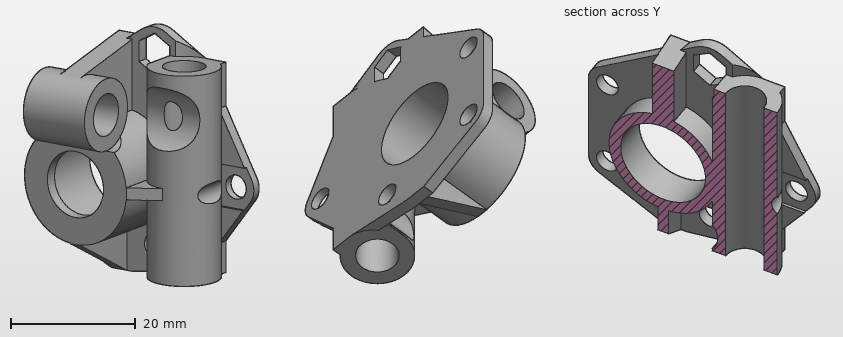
import math

import cadquery as cq


PLATE_THICKNESS = 2.0
PLATE_BOTTOM = -17.06
BOTTOM_EDGE_HALF_WIDTH = 2.1
LUG_RADIUS = 3.5
SCREW_HOLE_RADIUS = 2.0
LEFT_HOLE_X = -12.5
LEFT_HOLE_Z = 8.2
RIGHT_HOLE = (22.0, 0.0)
LOWER_HOLE = (6.4, -12.0)
SCREW_HEAD_RADIUS = 3.6
RIGHT_SEAT_HALF_HEIGHT = 3.55
RIGHT_SEAT_DEPTH = 1.5

HEX_CENTER = (6.35, 19.8)
HEX_WIDTH = 6.0
HEX_LUG_RADIUS = 4.5

BOSS_RADIUS = 10.0
BOSS_DEPTH = 15.0
BORE_RADIUS = 5.5
POCKET_RADIUS = 7.75
BORE_LIP = 2.0

TUBE_X = 15.0
TUBE_RADIUS = 6.0
TUBE_BORE_RADIUS = 3.5
TUBE_BOTTOM = -15.0
TUBE_TOP = 20.0
TUBE_AXIS_DEPTH = TUBE_RADIUS
TUBE_BACK_RIGHT_X = 19.0

BARREL_RADIUS = 6.0
BARREL_BORE_RADIUS = 3.5
BARREL_HALF_LENGTH = 6.0
BARREL_Z = 12.5
BARREL_AXIS_DEPTH = BOSS_DEPTH

BARREL_RIB_WIDTH = 4.0
BARREL_RIB_BACK_Z = 22.0
THIN_RIB_WIDTH = 2.0

THROUGH_DEPTH = 30.0
CLEARANCE_HALF_LENGTH = 30.0


def block(x_range, depth_range, z_range):
    """Box given by its X range, its depth range and its Z range."""
    size_x = x_range[1] - x_range[0]
    size_y = depth_range[1] - depth_range[0]
    size_z = z_range[1] - z_range[0]
    corner = (x_range[0], -depth_range[1], z_range[0])
    return cq.Workplane("XY").box(size_x, size_y, size_z, centered=False).translate(corner)


def y_cylinder(center, radius, start_depth, end_depth):
    """Cylinder along Y, centred on an (x, z) point, between two depths."""
    plane = cq.Workplane("XZ", origin=(0, -start_depth, 0))
    return plane.center(*center).circle(radius).extrude(end_depth - start_depth)


def barrel_cylinder(radius, half_length):
    """Cylinder on the axis of the cross barrel, symmetric about X = 0."""
    plane = cq.Workplane("YZ").center(-BARREL_AXIS_DEPTH, BARREL_Z)
    return plane.circle(radius).extrude(half_length, both=True)


def tube_cylinder(radius, bottom, top):
    """Cylinder on the axis of the vertical tube."""
    plane = cq.Workplane("XY", origin=(TUBE_X, -TUBE_AXIS_DEPTH, bottom))
    return plane.circle(radius).extrude(top - bottom)


def side_rib(points, width):
    """Rib with a (y, z) profile, centred on X = 0."""
    return cq.Workplane("YZ").polyline(points).close().extrude(width / 2, both=True)


def tangent_normal(start, end):
    """Unit normal of the outer tangent between two (x, z, radius) circles, taken counterclockwise."""
    dx = end[0] - start[0]
    dz = end[1] - start[1]
    distance = math.hypot(dx, dz)
    angle = math.atan2(dz, dx) - math.acos((start[2] - end[2]) / distance)
    return (math.cos(angle), math.sin(angle))


def on_circle(circle, normal):
    return (circle[0] + circle[2] * normal[0], circle[1] + circle[2] * normal[1])


def plate_outline():
    """Closed outline wrapped counterclockwise around lug circles and sharp corners (radius 0)."""
    corners = [
        (*RIGHT_HOLE, LUG_RADIUS),
        (TUBE_X, TUBE_TOP, 0),
        (*HEX_CENTER, HEX_LUG_RADIUS),
        (LEFT_HOLE_X, LEFT_HOLE_Z, LUG_RADIUS),
        (LEFT_HOLE_X, -LEFT_HOLE_Z, LUG_RADIUS),
        (-BOTTOM_EDGE_HALF_WIDTH, PLATE_BOTTOM, 0),
        (BOTTOM_EDGE_HALF_WIDTH, PLATE_BOTTOM, 0),
        (TUBE_X, TUBE_BOTTOM, 0),
    ]
    count = len(corners)
    normals = [tangent_normal(corners[i], corners[(i + 1) % count]) for i in range(count)]
    outline = cq.Workplane("XZ").moveTo(*on_circle(corners[0], normals[0]))
    for i in range(1, count + 1):
        corner = corners[i % count]
        normal_in = normals[i - 1]
        normal_out = normals[i % count]
        outline = outline.lineTo(*on_circle(corner, normal_in))
        if corner[2] > 0:
            sum_x = normal_in[0] + normal_out[0]
            sum_z = normal_in[1] + normal_out[1]
            length = math.hypot(sum_x, sum_z)
            middle = on_circle(corner, (sum_x / length, sum_z / length))
            outline = outline.threePointArc(middle, on_circle(corner, normal_out))
    return outline.close()


def make_plate():
    plate = plate_outline().extrude(PLATE_THICKNESS)
    right_seat = block(
        (TUBE_BACK_RIGHT_X, RIGHT_HOLE[0] + 2 * LUG_RADIUS),
        (RIGHT_SEAT_DEPTH, PLATE_THICKNESS),
        (-RIGHT_SEAT_HALF_HEIGHT, RIGHT_SEAT_HALF_HEIGHT),
    )
    tube_relief = tube_cylinder(TUBE_RADIUS, PLATE_BOTTOM, HEX_CENTER[1] + HEX_LUG_RADIUS)
    return plate.cut(right_seat).cut(tube_relief)


def make_tube():
    """Round tube with a square left wall down to the plate and a square back right corner."""
    z_range = (TUBE_BOTTOM, TUBE_TOP)
    left_wall = block((TUBE_X - TUBE_RADIUS, TUBE_X), (PLATE_THICKNESS, TUBE_AXIS_DEPTH), z_range)
    back_corner = block((TUBE_X, TUBE_BACK_RIGHT_X), (0, TUBE_AXIS_DEPTH), z_range)
    return tube_cylinder(TUBE_RADIUS, *z_range).union(left_wall).union(back_corner)


def make_lower_rib():
    profile = [
        (0, PLATE_BOTTOM),
        (-PLATE_THICKNESS, PLATE_BOTTOM),
        (-BOSS_DEPTH, -BOSS_RADIUS),
        (-BOSS_DEPTH, -BORE_RADIUS),
        (0, -BORE_RADIUS),
    ]
    return side_rib(profile, THIN_RIB_WIDTH)


def make_tube_rib():
    """Rib joining the front of the boss to the front of the tube."""
    profile = [
        (BORE_RADIUS, 0),
        (BORE_RADIUS, -BOSS_DEPTH),
        (BOSS_RADIUS, -BOSS_DEPTH),
        (TUBE_X, -TUBE_AXIS_DEPTH - TUBE_RADIUS),
        (TUBE_X, 0),
    ]
    return cq.Workplane("XY").polyline(profile).close().extrude(THIN_RIB_WIDTH / 2, both=True)


def make_barrel_rib():
    """Rib from the plate to the barrel, its sloping top tangent to the barrel."""
    barrel = (-BARREL_AXIS_DEPTH, BARREL_Z, BARREL_RADIUS)
    normal = tangent_normal((0, BARREL_RIB_BACK_Z, 0), barrel)
    profile = [
        (0, BARREL_RIB_BACK_Z),
        on_circle(barrel, normal),
        (-BARREL_AXIS_DEPTH, BARREL_Z),
        (-BARREL_AXIS_DEPTH, BORE_RADIUS + BORE_LIP),
        (0, BORE_RADIUS + BORE_LIP),
    ]
    return side_rib(profile, BARREL_RIB_WIDTH)


body = make_plate().union(y_cylinder((0, 0), BOSS_RADIUS, 0, BOSS_DEPTH)).union(make_tube())
hex_window = (
    cq.Workplane("XZ")
    .center(*HEX_CENTER)
    .transformed(rotate=(0, 0, 90))
    .polygon(6, HEX_WIDTH / math.cos(math.pi / 6))
    .extrude(THROUGH_DEPTH)
)
body = body.cut(hex_window)
body = body.cut(barrel_cylinder(BARREL_RADIUS, CLEARANCE_HALF_LENGTH))

body = body.union(barrel_cylinder(BARREL_RADIUS, BARREL_HALF_LENGTH))
for rib in (make_barrel_rib(), make_lower_rib(), make_tube_rib()):
    body = body.union(rib)

body = body.cut(y_cylinder((0, 0), BORE_RADIUS, 0, THROUGH_DEPTH))
body = body.cut(y_cylinder((0, 0), POCKET_RADIUS, 0, BOSS_DEPTH - BORE_LIP))
body = body.cut(tube_cylinder(TUBE_BORE_RADIUS, TUBE_BOTTOM, TUBE_TOP))
body = body.cut(barrel_cylinder(BARREL_BORE_RADIUS, BARREL_HALF_LENGTH))

screw_holes = [(LEFT_HOLE_X, LEFT_HOLE_Z), (LEFT_HOLE_X, -LEFT_HOLE_Z), RIGHT_HOLE, LOWER_HOLE]
for hole in screw_holes:
    body = body.cut(y_cylinder(hole, SCREW_HOLE_RADIUS, 0, THROUGH_DEPTH))
body = body.cut(y_cylinder(LOWER_HOLE, SCREW_HEAD_RADIUS, PLATE_THICKNESS, THROUGH_DEPTH))

result = body